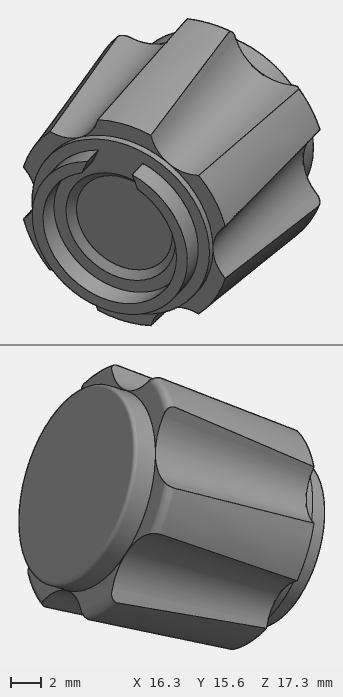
import cadquery as cq
import math

RING_LENGTH = 1.5
FLANGE_LENGTH = 0.5
GRIP_LENGTH = 12.0
COLLAR_LENGTH = 1.6
FLANGE_FRONT = RING_LENGTH
GRIP_FRONT = FLANGE_FRONT + FLANGE_LENGTH
GRIP_BACK = GRIP_FRONT + GRIP_LENGTH

RING_OUTER_RADIUS = 5.68
RING_INNER_RADIUS = 4.88
FLANGE_RADIUS = 13.0 / 2
COLLAR_RADIUS = 13.5 / 2
COLLAR_EDGE_RADIUS = 0.25

GRIP_BACK_RADIUS = 8.71
GRIP_TAPER = math.radians(5)
GRIP_EDGE_RADIUS = 0.52

FLUTE_COUNT = 6
FLUTE_APEX_RADIUS = 5.63
FLUTE_HALF_ANGLE = math.radians(49)
FLUTE_FRONT_FLOOR_RADIUS = 2.67
FLUTE_BACK_FLOOR_RADIUS = 3.46
FLUTE_OUTER_REACH = 10.4

GAP_TOP_HALF_WIDTH = 1.52
GAP_END_ANGLE = math.radians(22)
GAP_TOP = 5.72
GAP_BOTTOM = 3.81

RECESS_MOUTH_RADIUS = 4.0
RECESS_FLOOR_RADIUS = 3.5
RECESS_DEPTH = 0.5


def plane_at(y):
    """Section plane at station y: local x is +X, local y is +Z, normal is -Y."""
    return cq.Workplane("XZ", origin=(0, y, 0))


def disc(radius, start, length):
    return plane_at(start).circle(radius).extrude(-length)


def flute_section(floor_radius):
    """Closed flute wire, opening towards +X, in the front plane of the grip."""
    flank_sin = math.sin(FLUTE_HALF_ANGLE)
    flank_cos = math.cos(FLUTE_HALF_ANGLE)
    arc_center = FLUTE_APEX_RADIUS + floor_radius / flank_sin
    tangent_x = arc_center - floor_radius * flank_sin
    tangent_z = floor_radius * flank_cos
    outer_z = (FLUTE_OUTER_REACH - FLUTE_APEX_RADIUS) * math.tan(FLUTE_HALF_ANGLE)
    return (
        plane_at(GRIP_FRONT)
        .moveTo(FLUTE_OUTER_REACH, outer_z)
        .lineTo(tangent_x, tangent_z)
        .threePointArc((arc_center - floor_radius, 0), (tangent_x, -tangent_z))
        .lineTo(FLUTE_OUTER_REACH, -outer_z)
        .close()
        .val()
    )


def make_grip():
    front_radius = GRIP_BACK_RADIUS - GRIP_LENGTH * math.tan(GRIP_TAPER)
    grip = (
        cq.Workplane("XY")
        .moveTo(0, GRIP_FRONT)
        .lineTo(front_radius, GRIP_FRONT)
        .lineTo(GRIP_BACK_RADIUS, GRIP_BACK)
        .lineTo(0, GRIP_BACK)
        .close()
        .revolve(360, (0, 0, 0), (0, 1, 0))
        .faces(">Y").edges().fillet(GRIP_EDGE_RADIUS)
    )
    front_section = flute_section(FLUTE_FRONT_FLOOR_RADIUS)
    back_section = flute_section(FLUTE_BACK_FLOOR_RADIUS).translate(cq.Vector(0, GRIP_LENGTH, 0))
    flute = cq.Workplane(cq.Solid.makeLoft([front_section, back_section], True))
    for index in range(FLUTE_COUNT):
        angle = index * 360 / FLUTE_COUNT
        grip = grip.cut(flute.rotate((0, 0, 0), (0, 1, 0), angle))
    return grip


def make_ring():
    ring = plane_at(0).circle(RING_OUTER_RADIUS).circle(RING_INNER_RADIUS).extrude(-RING_LENGTH)
    bottom_half_width = GAP_TOP_HALF_WIDTH + (GAP_TOP - GAP_BOTTOM) * math.tan(GAP_END_ANGLE)
    gap = (
        plane_at(0)
        .polyline([
            (-GAP_TOP_HALF_WIDTH, GAP_TOP),
            (GAP_TOP_HALF_WIDTH, GAP_TOP),
            (bottom_half_width, GAP_BOTTOM),
            (-bottom_half_width, GAP_BOTTOM),
        ])
        .close()
        .extrude(-RING_LENGTH)
    )
    return ring.cut(gap)


def make_recess():
    return (
        plane_at(FLANGE_FRONT)
        .circle(RECESS_MOUTH_RADIUS)
        .workplane(offset=-RECESS_DEPTH)
        .circle(RECESS_FLOOR_RADIUS)
        .loft()
    )


flange = disc(FLANGE_RADIUS, FLANGE_FRONT, FLANGE_LENGTH)
collar = disc(COLLAR_RADIUS, GRIP_BACK, COLLAR_LENGTH).faces(">Y").edges().fillet(COLLAR_EDGE_RADIUS)
result = make_grip().union(flange).union(collar).union(make_ring()).cut(make_recess())